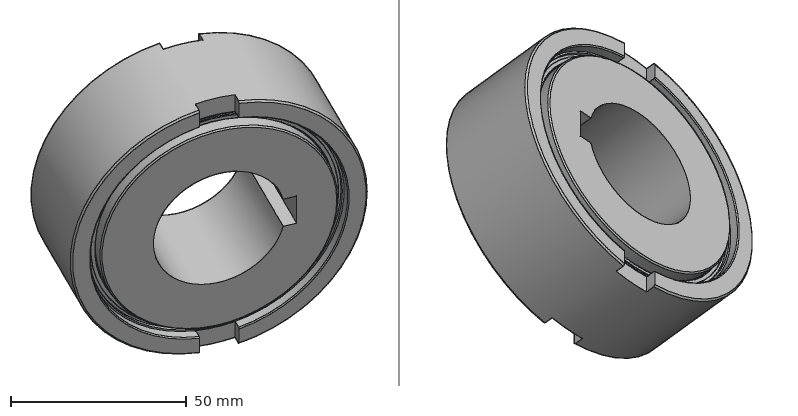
import cadquery as cq

width = 33.0
outer_radius = 45.0
outer_chamfer = 0.5

rim_inner_radius = 39.0
rim_inner_chamfer = 0.4
hub_radius = 36.0
hub_chamfer = 0.45
ledge_depth = 3.15
lip_radius = 36.4
step_radius = 37.5
step_depth = 0.5
seat_radius = 38.4

bore_radius = 20.0
key_width = 10.0
key_reach = 23.4

slot_width = 12.0
slot_depth = 3.4

half_width = width / 2


def revolved(profile):
    """Revolve an (axial, radial) profile about the X axis."""
    return profile.close().revolve(360, (0, 0, 0), (1, 0, 0))


def make_ring():
    blank = cq.Workplane("YZ").circle(outer_radius).extrude(half_width, both=True)
    blank = blank.edges().chamfer(outer_chamfer)
    bore = cq.Workplane("YZ").circle(bore_radius).extrude(half_width, both=True)
    keyway = cq.Workplane("XY").box(width, key_reach, key_width).translate((0, key_reach / 2, 0))
    return blank.cut(bore).cut(keyway)


def make_groove():
    """Stepped, chamfer-mouthed groove in the -X end face."""
    face = -half_width
    ledge = face + ledge_depth
    middle = ledge + step_depth
    floor = middle + step_depth
    profile = (
        cq.Workplane("XY")
        .moveTo(face, hub_radius - hub_chamfer)
        .lineTo(face + hub_chamfer, hub_radius)
        .lineTo(floor, hub_radius)
        .lineTo(floor, lip_radius)
        .lineTo(middle, lip_radius)
        .lineTo(middle, step_radius)
        .lineTo(floor, step_radius)
        .lineTo(floor, seat_radius)
        .lineTo(ledge, seat_radius)
        .lineTo(ledge, rim_inner_radius)
        .lineTo(face + rim_inner_chamfer, rim_inner_radius)
        .lineTo(face, rim_inner_radius + rim_inner_chamfer)
    )
    return revolved(profile)


def make_slots():
    """Slots through the rim wall of the -X end face, at +Z and -Z."""
    bar = cq.Workplane("XY").box(slot_depth, slot_width, 2 * outer_radius)
    bar = bar.translate((-half_width + slot_depth / 2, 0, 0))
    hub = cq.Workplane("YZ").circle(rim_inner_radius).extrude(half_width, both=True)
    return bar.cut(hub)


result = make_ring()
for end_cut in (make_groove(), make_slots()):
    result = result.cut(end_cut).cut(end_cut.mirror("YZ"))